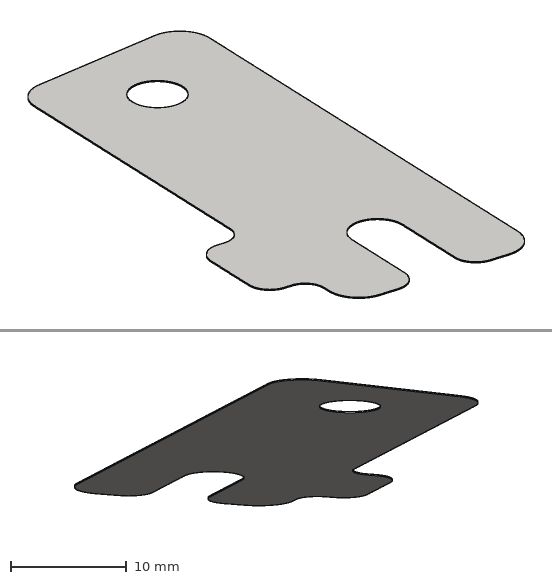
import cadquery as cq
import math

length = 52.5
body_width = 20.0
tab_depth = 5.0
thickness = 0.12
corner_radius = 3.15

slant_run = 3.05

hole_diameter = 5.3
hole_x = 9.5
slot_width = hole_diameter
slot_center_x = 42.5
slot_mouth_radius = 2.2

tab_left = 36.55
tab_width = 10.1
tab_right = tab_left + tab_width
tab_tip_radius = 2.2
tab_root_radius = 2.0

center_y = body_width / 2

slant_angle = math.atan2(slant_run, body_width)
top_left_x = corner_radius * (1 - (1 + math.sin(slant_angle)) / math.cos(slant_angle))
bottom_left_x = top_left_x + slant_run


def vertical_edges_at(points):
    """Selector for the through-thickness edges at the given outline points."""
    reach = 0.05
    selector = None
    for x, y in points:
        box = cq.selectors.BoxSelector(
            (x - reach, y - reach, -reach), (x + reach, y + reach, thickness + reach)
        )
        selector = box if selector is None else selector + box
    return selector


def make_blank():
    """Body and tab with sharp corners."""
    outline = [
        (top_left_x, body_width),
        (length, body_width),
        (length, 0),
        (tab_right, 0),
        (tab_right, -tab_depth),
        (tab_left, -tab_depth),
        (tab_left, 0),
        (bottom_left_x, 0),
    ]
    return cq.Workplane("XY").polyline(outline).close().extrude(thickness)


def make_slot():
    """Round-ended slot cutter, open at the right end."""
    straight = length - slot_center_x
    channel = (
        cq.Workplane("XY")
        .box(straight, slot_width, thickness, centered=False)
        .translate((slot_center_x, center_y - slot_width / 2, 0))
    )
    round_end = (
        cq.Workplane("XY")
        .center(slot_center_x, center_y)
        .circle(slot_width / 2)
        .extrude(thickness)
    )
    return channel.union(round_end)


def make_hole():
    """Round through hole cutter."""
    return cq.Workplane("XY").center(hole_x, center_y).circle(hole_diameter / 2).extrude(thickness)


body_corners = [
    (top_left_x, body_width),
    (bottom_left_x, 0),
    (length, body_width),
    (length, 0),
]
slot_mouth_corners = [(length, center_y + side * slot_width / 2) for side in (-1, 1)]
tab_tip_corners = [(x, -tab_depth) for x in (tab_left, tab_right)]
tab_root_corners = [(x, 0) for x in (tab_left, tab_right)]

result = make_blank().cut(make_slot()).cut(make_hole())
for corners, radius in (
    (body_corners, corner_radius),
    (slot_mouth_corners, slot_mouth_radius),
    (tab_tip_corners, tab_tip_radius),
    (tab_root_corners, tab_root_radius),
):
    result = result.edges("|Z").edges(vertical_edges_at(corners)).fillet(radius)